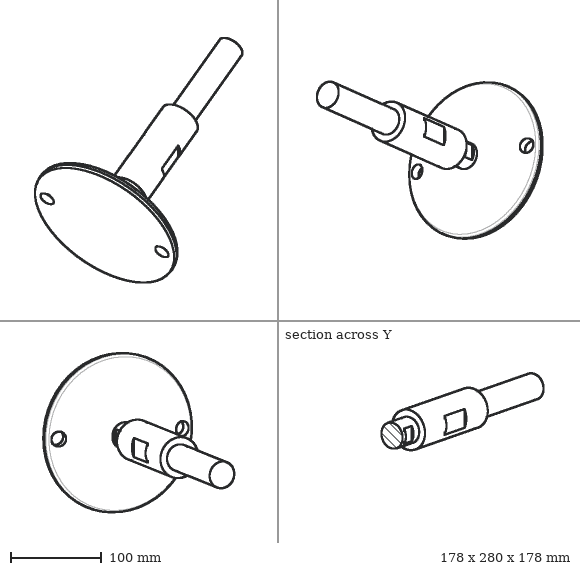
import cadquery as cq
import math


disc_diameter = 178.0
disc_radius = disc_diameter / 2
underside_radius = 88.5
taper_height = 4.2
band_top_radius = 88.5
band_top_height = 7.0
cone_rim_radius = 86.0
cone_angle = 10.0
cone_top = 22.5
seat_radius = 14.0

total_length = 280.0
spindle_diameter = 30.0
neck_flat_start = 28.0
neck_flat_end = 42.0
neck_flat_width = 24.5

shoulder_diameter = 46.0
shoulder_start = 52.5
shoulder_length = 114.8
shoulder_flat_length = 36.5
shoulder_flat_width = 40.5

hole_diameter = 16.5
hole_offset = 72.8
hole_reach = 28.0

cone_slope = math.tan(math.radians(cone_angle))
cone_rim_height = cone_top - (cone_rim_radius - seat_radius) * cone_slope


def rod_along_y(diameter, start, length):
    """Cylinder about the Y axis, running toward +Y from start."""
    return cq.Workplane("XZ", origin=(0, start, 0)).circle(diameter / 2).extrude(-length)


def cut_side_flats(body, diameter, width, start, end):
    """Cut a pair of parallel flats, facing -X and +X, between two places along Y."""
    depth = (diameter - width) / 2
    for side in (-1, 1):
        cutter = cq.Workplane("XY").box(depth, end - start, diameter)
        body = body.cut(cutter.translate((side * (width + depth) / 2, (start + end) / 2, 0)))
    return body


def make_disc():
    """Conical disc with a rounded upper corner and a rim of two slightly tapered bands."""
    profile = (
        cq.Workplane("XY")
        .lineTo(0, cone_top)
        .lineTo(seat_radius, cone_top)
        .lineTo(cone_rim_radius, cone_rim_height)
        .tangentArcPoint((band_top_radius, band_top_height), relative=False)
        .lineTo(disc_radius, taper_height)
        .lineTo(underside_radius, 0)
        .close()
    )
    return profile.revolve(360, (0, 0, 0), (0, 1, 0))


def make_hole_tool(side):
    """Drilling cylinder on the -X or +X side, leaning outward to be square to the cone."""
    tool = rod_along_y(hole_diameter, -hole_reach, 2 * hole_reach)
    return tool.rotate((0, 0, 0), (0, 0, 1), -side * cone_angle).translate((side * hole_offset, 0, 0))


def make_foot():
    foot = make_disc()
    for side in (-1, 1):
        foot = foot.cut(make_hole_tool(side))
    return foot


def make_shoulder():
    """Thick middle part, with wrench flats halfway along it."""
    shoulder = rod_along_y(shoulder_diameter, shoulder_start, shoulder_length)
    middle = shoulder_start + shoulder_length / 2
    return cut_side_flats(
        shoulder,
        shoulder_diameter,
        shoulder_flat_width,
        middle - shoulder_flat_length / 2,
        middle + shoulder_flat_length / 2,
    )


def make_spindle():
    """Rod with wrench flats near the foot and a thick middle part."""
    rod = rod_along_y(spindle_diameter, cone_top, total_length - cone_top)
    rod = cut_side_flats(rod, spindle_diameter, neck_flat_width, neck_flat_start, neck_flat_end)
    return rod.union(make_shoulder())


foot = make_foot()
spindle = make_spindle()
result = cq.Compound.makeCompound([foot.val(), spindle.val()])